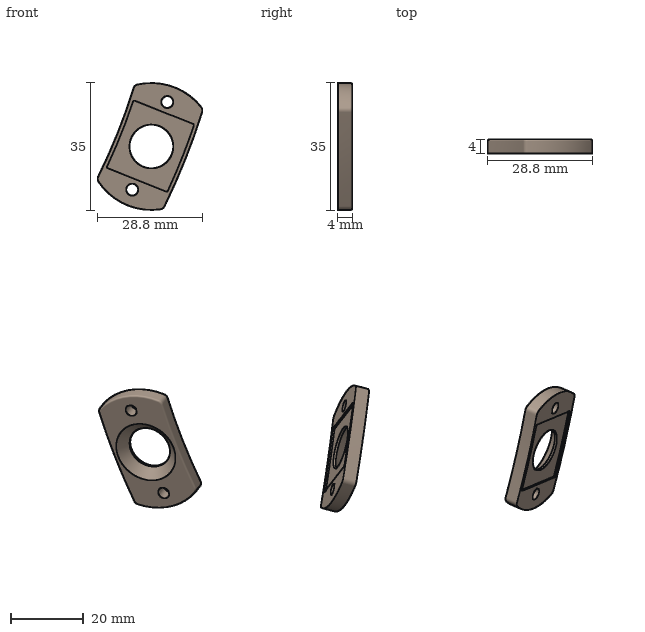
import cadquery as cq
import math

outer_radius = 17.5
thickness = 4.0
half_width = 10.0
bend_radius = 175.0
lean_angle = 21.8
corner_radius = 1.5
back_fillet = 0.5

bore_radius = 6.0
lip_depth = 1.2

screw_hole_radius = 1.6
screw_hole_offset = 13.0

pocket_wall = 1.0
pocket_half_length = 10.0
pocket_depth = 0.5
pocket_corner_radius = 0.4


def bend_offset(radius, along):
    """Sideways position, at a distance along the long axis, of an arc about the bend centre."""
    return math.sqrt(radius**2 - along**2) - bend_radius


def front_plane(depth=0.0):
    """Plane at a depth behind the front face, leaned with the part; its normal points to -Y."""
    plane = cq.Workplane("XZ", origin=(0, depth, 0))
    return plane.transformed(rotate=(0, 0, -lean_angle))


def curved_strip(plane, half_strip, half_length, depth):
    """Block with straight ends and long sides concentric about the bend centre."""
    inner = bend_radius - half_strip
    outer = bend_radius + half_strip
    return (
        plane.moveTo(bend_offset(inner, half_length), -half_length)
        .threePointArc((-half_strip, 0), (bend_offset(inner, half_length), half_length))
        .lineTo(bend_offset(outer, half_length), half_length)
        .threePointArc((half_strip, 0), (bend_offset(outer, half_length), -half_length))
        .close()
        .extrude(-depth)
    )


def make_body():
    strip = curved_strip(front_plane(), half_width, outer_radius, thickness)
    disc = front_plane().circle(outer_radius).extrude(-thickness)
    body = strip.intersect(disc).edges("|Y").fillet(corner_radius)
    return body.faces(">Y").edges().fillet(back_fillet)


def make_pocket():
    half_strip = half_width - pocket_wall
    pocket = curved_strip(front_plane(), half_strip, pocket_half_length, pocket_depth)
    return pocket.edges("|Y").fillet(pocket_corner_radius)


def make_bore():
    flare_depth = thickness - lip_depth
    lip = front_plane().circle(bore_radius).extrude(-lip_depth)
    flare = (
        front_plane(lip_depth)
        .circle(bore_radius)
        .workplane(offset=-flare_depth)
        .circle(bore_radius + flare_depth)
        .loft(ruled=True)
    )
    return lip.union(flare)


def make_screw_holes():
    side = bend_offset(bend_radius, screw_hole_offset)
    centres = [(side, -screw_hole_offset), (side, screw_hole_offset)]
    return front_plane().pushPoints(centres).circle(screw_hole_radius).extrude(-thickness)


result = make_body().cut(make_pocket()).cut(make_bore()).cut(make_screw_holes())